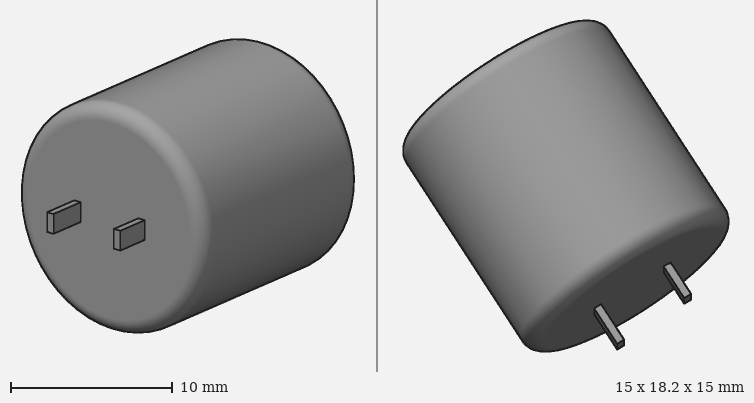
import cadquery as cq

can_diameter = 15.0
total_length = 18.2
edge_radius = 1.0

pin_width = 0.51
pin_height = 1.31
pin_spacing = 5.08
long_pin_length = 2.7
short_pin_length = 2.4

can_length = total_length - long_pin_length


def make_can():
    """Solid cylinder from the pin face at Y = 0 to +Y, rounded at both rims."""
    can = cq.Workplane("XZ").circle(can_diameter / 2).extrude(-can_length)
    return can.faces("<Y or >Y").edges().fillet(edge_radius)


def make_pin(center_x, length):
    """Rectangular pin standing on the pin face and pointing toward -Y."""
    return cq.Workplane("XZ").center(center_x, 0).rect(pin_width, pin_height).extrude(length)


long_pin = make_pin(-pin_spacing / 2, long_pin_length)
short_pin = make_pin(pin_spacing / 2, short_pin_length)

result = make_can().union(long_pin).union(short_pin)